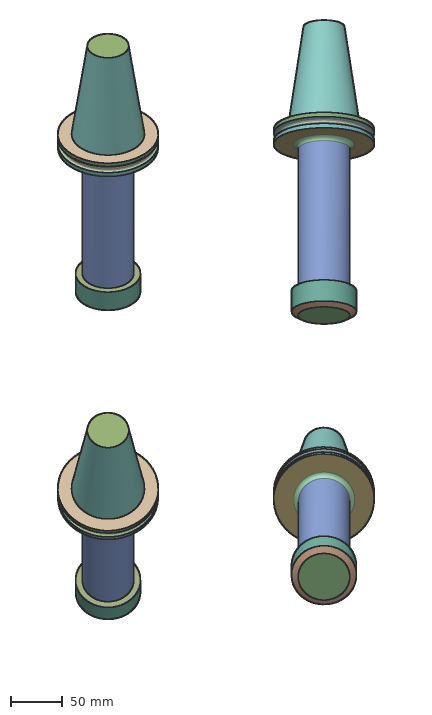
import cadquery as cq
import math

total_length = 296.45

taper_ratio = 7 / 24
gauge_diameter = 69.85
taper_length = 101.75

flange_diameter = 97.5
flange_top = -3.2
flange_bottom = -19.1
groove_diameter = 91.25
groove_centre = -11.1
groove_mouth_width = 7.0
groove_flank_angle = 30.0
groove_fillet_radius = 1.0

body_diameter = 50.0
body_fillet_radius = 4.5

nut_diameter = 63.0
nut_height = 25.5
nut_tip_diameter = 50.0
nut_chamfer_angle = 30.0

nut_bottom = taper_length - total_length
nut_chamfer_height = (nut_diameter - nut_tip_diameter) / 2 * math.tan(math.radians(nut_chamfer_angle))
nut_top = nut_bottom + nut_height


def taper_radius(z):
    """Radius of the 7:24 cone at height z above the gauge plane."""
    return (gauge_diameter - taper_ratio * z) / 2


def spin(outline):
    """Close a half section on the Z axis and revolve it into a solid."""
    return outline.close().revolve(360, (0, 0, 0), (0, 1, 0))


def make_taper():
    """Solid cone from the flange face up to its small end."""
    outline = (
        cq.Workplane("XZ")
        .moveTo(0, flange_top)
        .lineTo(taper_radius(flange_top), flange_top)
        .lineTo(taper_radius(taper_length), taper_length)
        .lineTo(0, taper_length)
    )
    return spin(outline)


def make_flange():
    """Disc with a trapezoidal groove around its rim, rounded where the flanks meet the floor."""
    rim_radius = flange_diameter / 2
    floor_radius = groove_diameter / 2
    half_mouth = groove_mouth_width / 2
    half_floor = half_mouth - (rim_radius - floor_radius) * math.tan(math.radians(groove_flank_angle))
    outline = (
        cq.Workplane("XZ")
        .moveTo(0, flange_bottom)
        .lineTo(rim_radius, flange_bottom)
        .lineTo(rim_radius, groove_centre - half_mouth)
        .lineTo(floor_radius, groove_centre - half_floor)
        .lineTo(floor_radius, groove_centre + half_floor)
        .lineTo(rim_radius, groove_centre + half_mouth)
        .lineTo(rim_radius, flange_top)
        .lineTo(0, flange_top)
    )
    disc = spin(outline)
    floor_corners = cq.selectors.RadiusNthSelector(0)
    return disc.edges("%CIRCLE").edges(floor_corners).fillet(groove_fillet_radius)


def make_body():
    """Cylinder from the nut to the flange, flaring into the flange with a fillet."""
    radius = body_diameter / 2
    outline = (
        cq.Workplane("XZ")
        .moveTo(0, nut_top)
        .lineTo(radius, nut_top)
        .lineTo(radius, flange_bottom - body_fillet_radius)
        .radiusArc((radius + body_fillet_radius, flange_bottom), body_fillet_radius)
        .lineTo(0, flange_bottom)
    )
    return spin(outline)


def make_nut():
    """Round nut with a conical lower edge."""
    radius = nut_diameter / 2
    outline = (
        cq.Workplane("XZ")
        .moveTo(0, nut_bottom)
        .lineTo(nut_tip_diameter / 2, nut_bottom)
        .lineTo(radius, nut_bottom + nut_chamfer_height)
        .lineTo(radius, nut_top)
        .lineTo(0, nut_top)
    )
    return spin(outline)


result = make_taper().union(make_flange()).union(make_body()).union(make_nut())